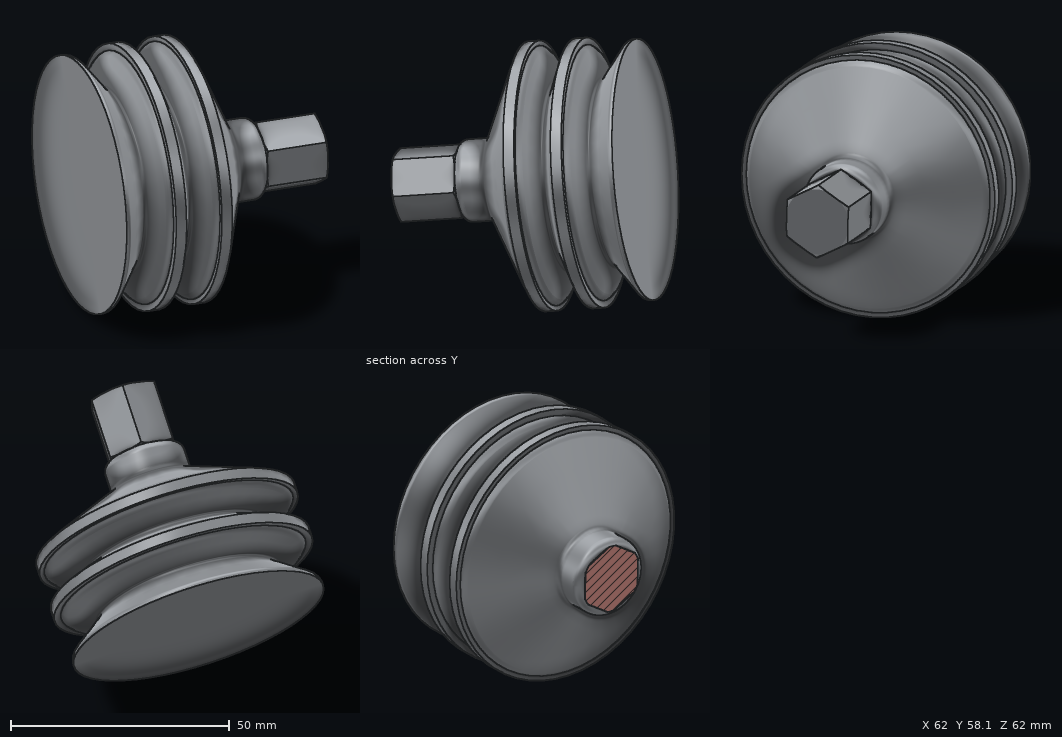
import cadquery as cq
import math

TOTAL_LENGTH = 58.08

RIM_RADIUS = 30.0
RIM_CORNER_Y = 0.95
RIM_ROUND = 0.9
PEAK_RADIUS = 34.2
PEAK_ROUND = 2.8
LOWER_PEAK_Y = 12.9
UPPER_PEAK_Y = 24.05
VALLEY_RADIUS = 21.2
VALLEY_ROUND = 0.7
LOWER_VALLEY_Y = 7.85
UPPER_VALLEY_Y = 18.65

BAND_RADIUS = 31.0
BAND_WIDTH = 2.55
LOWER_BAND_START = 11.75
BAND_SPACING = 11.2
BAND_COUNT = 2

COLLAR_RADIUS = 9.5
COLLAR_FOOT_Y = 35.95
COLLAR_FOOT_ROUND = 1.6
COLLAR_TOP_Y = 43.15
COLLAR_TOP_ROUND = 2.0

HEX_SIDES = 6
HEX_ACROSS_FLATS = 15.0
HEX_TURN = 1.4
HEX_BEVEL_LENGTH = 0.3
HEX_BEVEL_END_RADIUS = 7.7


def toward(start, end, distance):
    """Return the point a given distance from start along the line to end."""
    ratio = distance / math.dist(start, end)
    return (start[0] + ratio * (end[0] - start[0]), start[1] + ratio * (end[1] - start[1]))


def add_rounded_corner(outline, before, corner, after, radius):
    """Extend the outline to a corner and round it with a tangent arc."""
    angle_in = math.atan2(before[1] - corner[1], before[0] - corner[0])
    angle_out = math.atan2(after[1] - corner[1], after[0] - corner[0])
    half_angle = math.acos(math.cos(angle_out - angle_in)) / 2
    tangent_length = radius / math.tan(half_angle)
    arc_start = toward(corner, before, tangent_length)
    arc_end = toward(corner, after, tangent_length)
    chord_middle = ((arc_start[0] + arc_end[0]) / 2, (arc_start[1] + arc_end[1]) / 2)
    arc_middle = toward(corner, chord_middle, radius / math.sin(half_angle) - radius)
    return outline.lineTo(*arc_start).threePointArc(arc_middle, arc_end)


def make_body():
    """Revolve the bellows, its conical shoulder and the collar in one outline."""
    axis_start = (0, 0)
    rim_edge = (RIM_RADIUS, 0)
    axis_end = (0, COLLAR_TOP_Y)
    rounded_corners = [
        ((RIM_RADIUS, RIM_CORNER_Y), RIM_ROUND),
        ((VALLEY_RADIUS, LOWER_VALLEY_Y), VALLEY_ROUND),
        ((PEAK_RADIUS, LOWER_PEAK_Y), PEAK_ROUND),
        ((VALLEY_RADIUS, UPPER_VALLEY_Y), VALLEY_ROUND),
        ((PEAK_RADIUS, UPPER_PEAK_Y), PEAK_ROUND),
        ((COLLAR_RADIUS, COLLAR_FOOT_Y), COLLAR_FOOT_ROUND),
        ((COLLAR_RADIUS, COLLAR_TOP_Y), COLLAR_TOP_ROUND),
    ]
    corners = [rim_edge] + [corner for corner, _ in rounded_corners] + [axis_end]
    outline = cq.Workplane("XY").moveTo(*axis_start).lineTo(*rim_edge)
    for index, (corner, radius) in enumerate(rounded_corners):
        outline = add_rounded_corner(outline, corners[index], corner, corners[index + 2], radius)
    return outline.lineTo(*axis_end).close().revolve(360, (0, 0, 0), (0, 1, 0))


def make_band(start_y):
    """Return a disc that forms one flat band around the bellows."""
    return cq.Workplane("XZ", origin=(0, start_y, 0)).circle(BAND_RADIUS).extrude(-BAND_WIDTH)


def make_hexagon():
    """Return the hexagonal fitting with bevelled corners."""
    corner_radius = HEX_ACROSS_FLATS / math.sqrt(3)
    length = TOTAL_LENGTH - COLLAR_TOP_Y
    prism = (
        cq.Workplane("XZ", origin=(0, COLLAR_TOP_Y, 0))
        .transformed(rotate=(0, 0, 90 + HEX_TURN))
        .polygon(HEX_SIDES, 2 * corner_radius)
        .extrude(-length)
    )
    bevel_envelope = (
        cq.Workplane("XY")
        .moveTo(0, COLLAR_TOP_Y)
        .lineTo(HEX_BEVEL_END_RADIUS, COLLAR_TOP_Y)
        .lineTo(corner_radius, COLLAR_TOP_Y + HEX_BEVEL_LENGTH)
        .lineTo(corner_radius, TOTAL_LENGTH - HEX_BEVEL_LENGTH)
        .lineTo(HEX_BEVEL_END_RADIUS, TOTAL_LENGTH)
        .lineTo(0, TOTAL_LENGTH)
        .close()
        .revolve(360, (0, 0, 0), (0, 1, 0))
    )
    return prism.intersect(bevel_envelope)


result = make_body()
for band_index in range(BAND_COUNT):
    result = result.union(make_band(LOWER_BAND_START + band_index * BAND_SPACING))
result = result.union(make_hexagon())